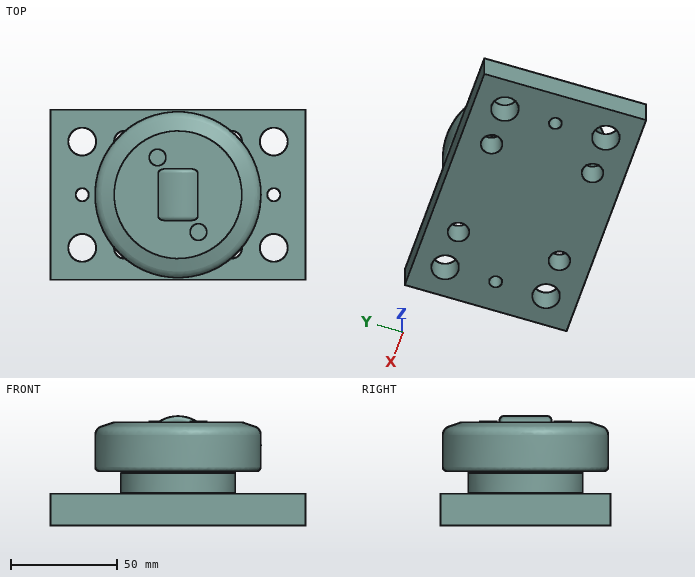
import cadquery as cq
import math

plate_length = 120.0
plate_width = 80.0
plate_height = 15.0
outer_hole_x = 45.0
inner_hole_x = 25.0
hole_row_y = 25.0
corner_hole_diameter = 13.0
inner_hole_diameter = 10.1
dowel_hole_diameter = 6.0

hub_diameter = 54.0
hub_top = 25.0
hub_chamfer = 0.4
neck_diameter = 52.0

roller_diameter = 78.0
rim_barrel_radius = 480.0
roller_bottom = 25.5
roller_top = 48.6
top_face_diameter = 60.0
crown_angle = 18.5
shoulder_radius = 4.2
lower_edge_radius = 2.2

overall_height = 51.5
pad_width = 18.5
pad_length = 24.5
pad_edge_radius = 2.0
pin_diameter = 7.8
pin_height = 0.4
pin_x = 9.6
pin_y = 17.5


def cylinder(diameter, bottom, top):
    return cq.Workplane("XY").workplane(offset=bottom).circle(diameter / 2).extrude(top - bottom)


def drill(body, points, diameter):
    """Cut through holes in the base plate."""
    cutters = cq.Workplane("XY").pushPoints(points).circle(diameter / 2).extrude(plate_height)
    return body.cut(cutters)


def make_plate():
    plate = cq.Workplane("XY").box(plate_length, plate_width, plate_height, centered=(True, True, False))
    corners = [(sx * outer_hole_x, sy * hole_row_y) for sx in (-1, 1) for sy in (-1, 1)]
    inner = [(sx * inner_hole_x, sy * hole_row_y) for sx in (-1, 1) for sy in (-1, 1)]
    dowels = [(sx * outer_hole_x, 0) for sx in (-1, 1)]
    plate = drill(plate, corners, corner_hole_diameter)
    plate = drill(plate, inner, inner_hole_diameter)
    return drill(plate, dowels, dowel_hole_diameter)


def make_hub():
    hub = cylinder(hub_diameter, plate_height, hub_top).edges("%CIRCLE").chamfer(hub_chamfer)
    return hub.union(cylinder(neck_diameter, hub_top, roller_bottom))


def make_roller():
    """Revolve the roller: barrel-shaped rim, conical crown and two rounded edges."""
    radius = roller_diameter / 2
    face_radius = top_face_diameter / 2
    cone_bottom = roller_top - (radius - face_radius) * math.tan(math.radians(crown_angle))
    half_rim = (cone_bottom - roller_bottom) / 2
    rim_drop = rim_barrel_radius - math.sqrt(rim_barrel_radius**2 - half_rim**2)
    rim_end_radius = radius - rim_drop
    profile = (
        cq.Workplane("XZ")
        .moveTo(0, roller_bottom)
        .lineTo(rim_end_radius, roller_bottom)
        .threePointArc((radius, roller_bottom + half_rim), (rim_end_radius, cone_bottom))
        .lineTo(face_radius, roller_top)
        .lineTo(0, roller_top)
        .close()
    )
    roller = profile.revolve(360, (0, 0, 0), (0, 1, 0))
    roller = roller.edges("%CIRCLE").edges(">>Z[-2]").fillet(shoulder_radius)
    return roller.faces("<Z").edges().fillet(lower_edge_radius)


def make_pad():
    """Circular-segment bar along Y with both end edges of its crown rounded."""
    half_width = pad_width / 2
    pad = (
        cq.Workplane("XZ")
        .moveTo(-half_width, roller_top)
        .threePointArc((0, overall_height), (half_width, roller_top))
        .close()
        .extrude(pad_length / 2, both=True)
    )
    return pad.edges("%CIRCLE").fillet(pad_edge_radius)


def make_pins():
    points = [(-pin_x, pin_y), (pin_x, -pin_y)]
    base = cq.Workplane("XY").workplane(offset=roller_top)
    return base.pushPoints(points).circle(pin_diameter / 2).extrude(pin_height)


result = make_plate().union(make_hub()).union(make_roller()).union(make_pad()).union(make_pins())